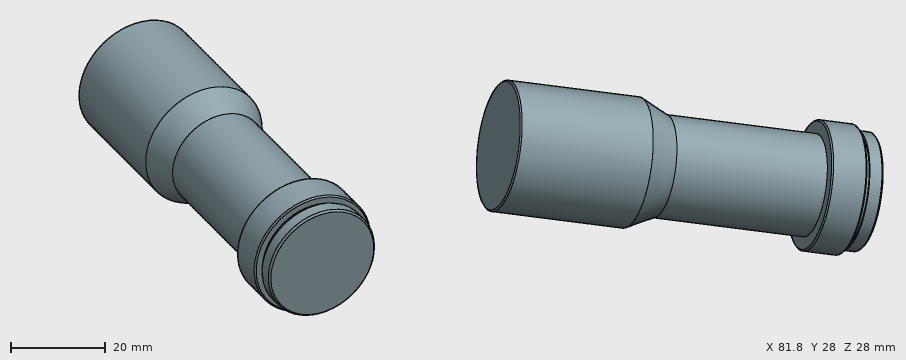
import cadquery as cq

length = 81.8
grip_length = 29.7
taper_length = 6.4
collar_start = 69.8
collar_end = 77.7
spigot_start = 78.7

body_diameter = 28.0
shaft_diameter = 22.0
groove_diameter = 24.45
spigot_diameter = 25.5

body_chamfer = 0.3
spigot_chamfer = 0.4

body_radius = body_diameter / 2
shaft_radius = shaft_diameter / 2
groove_radius = groove_diameter / 2
spigot_radius = spigot_diameter / 2
x_start = -length / 2


def cylinder(start, end, radius):
    """Solid cylinder along X between two stations measured from the grip end."""
    return cq.Workplane("YZ", origin=(x_start + start, 0, 0)).circle(radius).extrude(end - start)


grip = cylinder(0, grip_length, body_radius).faces("<X").chamfer(body_chamfer)
taper_end = grip_length + taper_length
taper = (
    cq.Workplane("XY")
    .moveTo(x_start + grip_length, 0)
    .lineTo(x_start + grip_length, body_radius)
    .lineTo(x_start + taper_end, shaft_radius)
    .lineTo(x_start + taper_end, 0)
    .close()
    .revolve(360, (0, 0, 0), (1, 0, 0))
)

shaft = cylinder(taper_end, collar_start, shaft_radius)
collar = cylinder(collar_start, collar_end, body_radius).faces("<X or >X").chamfer(body_chamfer)
groove = cylinder(collar_end, spigot_start, groove_radius)
spigot = cylinder(spigot_start, length, spigot_radius).faces(">X").chamfer(spigot_chamfer)

result = grip.union(taper).union(shaft).union(collar).union(groove).union(spigot)